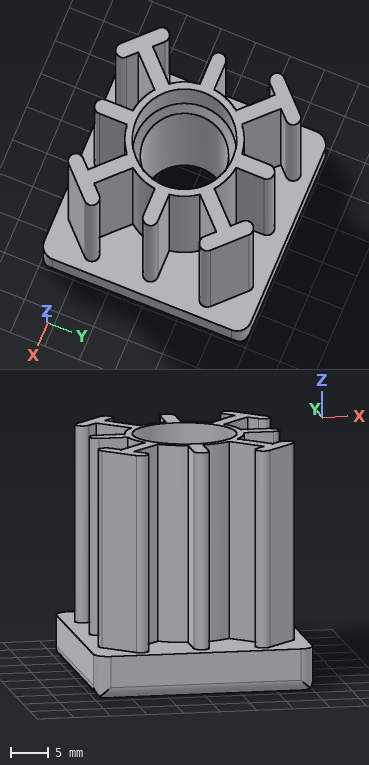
import cadquery as cq

cap_side = 30.0
cap_height = 6.0
cap_corner_radius = 2.0
cap_edge_radius = 1.75

total_height = 32.99
tube_diameter = 16.0
upper_bore_diameter = 14.0
lower_bore_diameter = 11.84
upper_bore_depth = 6.9

rib_thickness = 2.1
straight_rib_span = 26.0
t_rib_span = 31.36
t_bar_length = 7.7

rib_height = total_height - cap_height


def square_block():
    return cq.Workplane("XY").rect(cap_side, cap_side).extrude(cap_height)


def edge_rounded_block(edge_direction):
    """Square block with the two lower edges along one direction rounded."""
    lower_edges = square_block().faces("<Z").edges(edge_direction)
    return lower_edges.fillet(cap_edge_radius)


def cap():
    """Cap with rounded upright corners and lower edges that meet in mitres."""
    block = square_block().edges("|Z").fillet(cap_corner_radius)
    return block.intersect(edge_rounded_block("|X")).intersect(edge_rounded_block("|Y"))


def rib_base():
    """Sketch plane on top of the cap, where the tube and ribs start."""
    return cq.Workplane("XY").workplane(offset=cap_height)


def straight_ribs(angle):
    """Two opposite round-ended ribs, made as one slot through the axis."""
    return rib_base().slot2D(straight_rib_span, rib_thickness, angle).extrude(rib_height)


def t_ribs(angle):
    """Two opposite ribs, each closed by a round-ended crossbar."""
    bar_center = (t_rib_span - rib_thickness) / 2
    web = rib_base().rect(2 * bar_center, rib_thickness).extrude(rib_height)
    bars = (
        rib_base()
        .pushPoints([(-bar_center, 0), (bar_center, 0)])
        .slot2D(t_bar_length, rib_thickness, 90)
        .extrude(rib_height)
    )
    return web.union(bars).rotate((0, 0, 0), (0, 0, 1), angle)


def bore():
    """Through bore, wider at the top, with a 45 degree cone between diameters."""
    upper_radius = upper_bore_diameter / 2
    lower_radius = lower_bore_diameter / 2
    cone_top = total_height - upper_bore_depth
    cone_bottom = cone_top - (upper_radius - lower_radius)
    return (
        cq.Workplane("XZ")
        .moveTo(0, 0)
        .lineTo(lower_radius, 0)
        .lineTo(lower_radius, cone_bottom)
        .lineTo(upper_radius, cone_top)
        .lineTo(upper_radius, total_height)
        .lineTo(0, total_height)
        .close()
        .revolve(360, (0, 0, 0), (0, 1, 0))
    )


def tube():
    return rib_base().circle(tube_diameter / 2).extrude(rib_height)


result = cap().union(tube())
for straight_rib_angle in (0, 90):
    result = result.union(straight_ribs(straight_rib_angle))
for t_rib_angle in (45, 135):
    result = result.union(t_ribs(t_rib_angle))
result = result.cut(bore())